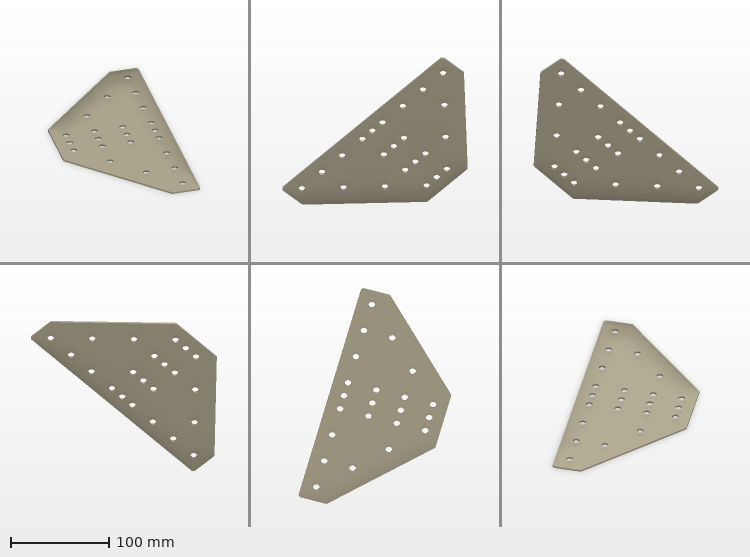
import cadquery as cq

length = 240.0
width = 120.0
thickness = 2.0
pitch = 30.0
hole_diameter = 6.7
corner_chamfer = 2.0

half_length = length / 2
back = width / 2
front = -back
edge_margin = pitch / 2
side_height = pitch
front_half_length = pitch
center_offset = pitch / 2


def plate():
    """Flat plate: a long back edge tapering at 45 degrees to a short front edge."""
    outline = [
        (-half_length, back),
        (half_length, back),
        (half_length, back - side_height),
        (front_half_length, front),
        (-front_half_length, front),
        (-half_length, back - side_height),
    ]
    body = cq.Workplane("XY").polyline(outline).close().extrude(thickness)
    return body.edges("|Z and >Y").chamfer(corner_chamfer)


def hole_centers():
    """Four rows with a central group of three, plus outer holes on each side."""
    outer_columns_by_row = [(1, 2, 3), (2,), (1,), ()]
    centers = []
    for row, outer_columns in enumerate(outer_columns_by_row):
        y = back - edge_margin - row * pitch
        centers.append((0, y))
        for side in (-1, 1):
            centers.append((side * center_offset, y))
            for column in outer_columns:
                centers.append((side * (center_offset + column * pitch), y))
    return centers


holes = (
    cq.Workplane("XY")
    .pushPoints(hole_centers())
    .circle(hole_diameter / 2)
    .extrude(thickness)
)

result = plate().cut(holes)